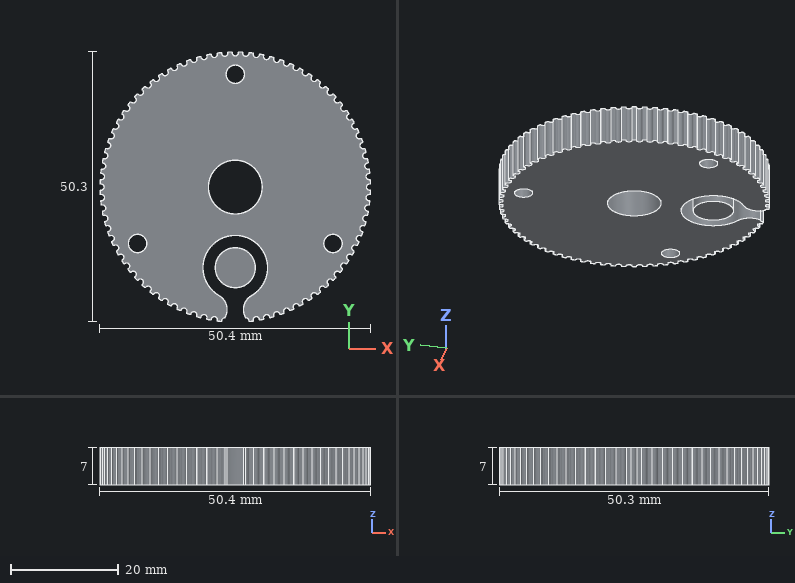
import cadquery as cq
import math

overall_width = 50.4
thickness = 7.0

tooth_count = 80
groove_mouth = 1.4
groove_depth = 0.75
tip_radius = 0.15
tooth_pitch_angle = 360.0 / tooth_count
outer_radius = math.hypot(overall_width / 2, groove_mouth / 2)

bore_diameter = 10.0
bolt_hole_diameter = 3.4
bolt_circle_radius = 21.0
bolt_hole_angles = (90, 210, 330)

keyhole_radius = 6.0
keyhole_offset = 15.0
lip_radius = keyhole_radius / 2
lip_angle = 30.0
pin_diameter = 7.5


def polar(radius, angle):
    """Point at a radius and an angle in degrees, counter-clockwise from +X."""
    return (radius * math.cos(math.radians(angle)), radius * math.sin(math.radians(angle)))


def make_blank():
    """Toothed disc: round-bottomed grooves, rounded tooth tips and arc-shaped tooth lands."""
    mouth_angle = math.degrees(math.asin(groove_mouth / 2 / outer_radius))
    tip_x, tip_y = polar(outer_radius - tip_radius, mouth_angle)

    floor_radius = outer_radius - groove_depth
    tip_height = tip_x - floor_radius
    groove_radius = (tip_y**2 + tip_height**2 - tip_radius**2) / (2 * (tip_radius + tip_height))
    groove_centre = floor_radius + groove_radius

    share = tip_radius / (tip_radius + groove_radius)
    flank_x = tip_x + (groove_centre - tip_x) * share
    flank_y = tip_y * (1 - share)
    flank_radius = math.hypot(flank_x, flank_y)
    flank_angle = math.degrees(math.atan2(flank_y, flank_x))
    flank_direction = math.degrees(math.atan2(flank_y - tip_y, flank_x - tip_x))
    middle_direction = (flank_direction + mouth_angle) / 2
    middle_dx, middle_dy = polar(tip_radius, middle_direction)
    middle_x = tip_x + middle_dx
    middle_y = tip_y + middle_dy
    middle_radius = math.hypot(middle_x, middle_y)
    middle_angle = math.degrees(math.atan2(middle_y, middle_x))

    outline = cq.Workplane("XY").moveTo(*polar(outer_radius, -mouth_angle))
    for index in range(tooth_count):
        groove_angle = index * tooth_pitch_angle
        next_angle = groove_angle + tooth_pitch_angle
        outline = (
            outline
            .threePointArc(
                polar(middle_radius, groove_angle - middle_angle),
                polar(flank_radius, groove_angle - flank_angle),
            )
            .threePointArc(
                polar(floor_radius, groove_angle),
                polar(flank_radius, groove_angle + flank_angle),
            )
            .threePointArc(
                polar(middle_radius, groove_angle + middle_angle),
                polar(outer_radius, groove_angle + mouth_angle),
            )
            .threePointArc(
                polar(outer_radius, groove_angle + tooth_pitch_angle / 2),
                polar(outer_radius, next_angle - mouth_angle),
            )
        )
    return outline.close().extrude(thickness)


def make_round_holes():
    """Cutters for the central bore and the ring of bolt holes."""
    bore = cq.Workplane("XY").circle(bore_diameter / 2).extrude(thickness)
    bolt_holes = (
        cq.Workplane("XY")
        .pushPoints([polar(bolt_circle_radius, angle) for angle in bolt_hole_angles])
        .circle(bolt_hole_diameter / 2)
        .extrude(thickness)
    )
    return bore.union(bolt_holes)


def make_keyhole():
    """Cutter for the keyhole: a round pocket whose neck runs between two rounded lips."""
    reach = keyhole_radius + lip_radius
    lip_x = reach * math.sin(math.radians(lip_angle))
    lip_y = -keyhole_offset - reach * math.cos(math.radians(lip_angle))
    neck_x = keyhole_radius * math.sin(math.radians(lip_angle))
    neck_y = -keyhole_offset - keyhole_radius * math.cos(math.radians(lip_angle))
    throat_x = lip_x - lip_radius
    mouth_y = lip_y - lip_radius
    return (
        cq.Workplane("XY")
        .moveTo(-neck_x, neck_y)
        .threePointArc((0, keyhole_radius - keyhole_offset), (neck_x, neck_y))
        .threePointArc((throat_x, lip_y), (lip_x, mouth_y))
        .lineTo(-lip_x, mouth_y)
        .threePointArc((-throat_x, lip_y), (-neck_x, neck_y))
        .close()
        .extrude(thickness)
    )


def make_pin():
    """Plain round pin standing free in the middle of the keyhole."""
    return (
        cq.Workplane("XY")
        .center(0, -keyhole_offset)
        .circle(pin_diameter / 2)
        .extrude(thickness)
    )


wheel = make_blank().cut(make_round_holes()).cut(make_keyhole())
pin = make_pin()

result = cq.Compound.makeCompound([wheel.val(), pin.val()])